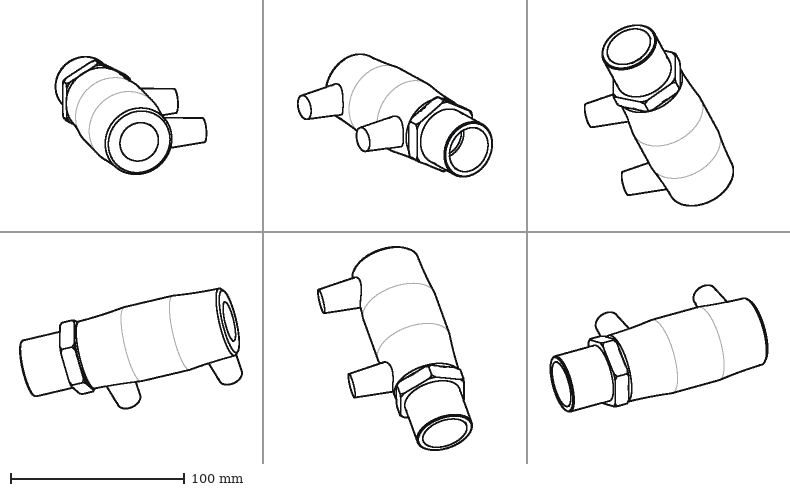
import cadquery as cq
import math

total_length = 122.0
nut_start = 25.4
nut_width = 8.7
body_start = nut_start + nut_width
body_length = total_length - body_start
body_middle = body_start + body_length / 2
grip_length = 29.4

body_radius = 44.0 / 2
body_end_radius = 39.9 / 2
body_chamfer = 1.5
taper_sag = 0.4
pipe_radius = 33.3 / 2
pipe_chamfer = 0.6
bore_radius = 23.0 / 2
pipe_bore_radius = 26.6 / 2
nut_across_flats = 38.2
nut_chamfer = 1.1

stub_spacing = 61.7
stub_tip_y = 64.0 - body_radius
stub_tip_radius = 14.2 / 2
stub_base_y = 22.0
stub_base_radius = 17.6 / 2


def cylinder_x(radius, start, length):
    """Cylinder on the main axis, beginning at X = start."""
    return cq.Workplane("YZ", origin=(start, 0, 0)).circle(radius).extrude(length)


def make_body():
    """Sleeve with a straight middle, slightly hollow tapers and chamfered ends."""
    taper_start = body_start + body_chamfer
    taper_end = total_length - body_chamfer
    grip_start = body_middle - grip_length / 2
    grip_end = body_middle + grip_length / 2
    lip_radius = body_end_radius - body_chamfer
    sag_radius = (body_end_radius + body_radius) / 2 - taper_sag
    profile = (
        cq.Workplane("XY")
        .moveTo(body_start, 0)
        .lineTo(body_start, lip_radius)
        .lineTo(taper_start, body_end_radius)
        .threePointArc(((taper_start + grip_start) / 2, sag_radius), (grip_start, body_radius))
        .lineTo(grip_end, body_radius)
        .threePointArc(((grip_end + taper_end) / 2, sag_radius), (taper_end, body_end_radius))
        .lineTo(total_length, lip_radius)
        .lineTo(total_length, 0)
        .close()
    )
    return profile.revolve(360, (0, 0, 0), (1, 0, 0))


def make_nut():
    """Hexagon with corners toward +Z and -Z, its corners trimmed by a chamfered disc."""
    corner_radius = nut_across_flats / 2 / math.cos(math.pi / 6)
    hexagon = (
        cq.Workplane("YZ", origin=(nut_start, 0, 0))
        .polygon(6, 2 * corner_radius)
        .extrude(nut_width)
        .rotate((0, 0, 0), (1, 0, 0), 90)
    )
    trim = cylinder_x(corner_radius, nut_start, nut_width).edges().chamfer(nut_chamfer)
    return hexagon.intersect(trim)


def make_pipe():
    """Plain pipe end with a chamfered outer rim."""
    return cylinder_x(pipe_radius, 0, body_start).faces("<X").chamfer(pipe_chamfer)


def make_stub(x):
    """Tapered side connection from the main axis out to its flat tip in +Y."""
    slope = (stub_base_radius - stub_tip_radius) / (stub_tip_y - stub_base_y)
    axis_radius = stub_tip_radius + slope * stub_tip_y
    return cq.Workplane(
        cq.Solid.makeCone(
            axis_radius, stub_tip_radius, stub_tip_y, cq.Vector(x, 0, 0), cq.Vector(0, 1, 0)
        )
    )


result = make_body().union(make_nut()).union(make_pipe())
for side in (-1, 1):
    result = result.union(make_stub(body_middle + side * stub_spacing / 2))

result = result.cut(cylinder_x(bore_radius, 0, total_length))
result = result.cut(cylinder_x(pipe_bore_radius, 0, nut_start))